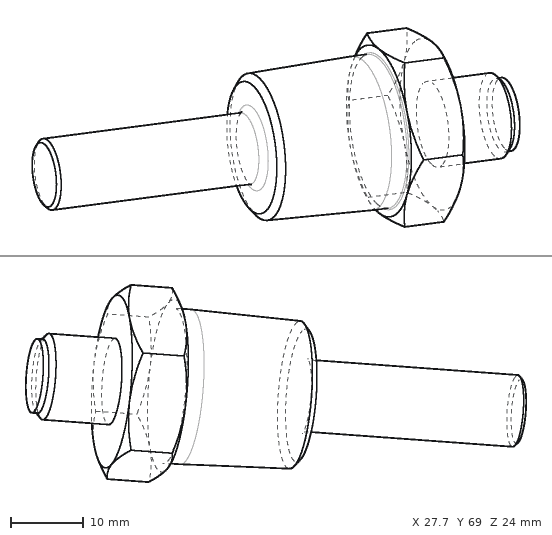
import cadquery as cq
import math

total_length = 69.0
hex_thickness = 8.0
connector_length = 11.0
thread_length = 19.0

hex_sides = 6
across_flats = 24.0
across_corners = across_flats / math.cos(math.pi / hex_sides)
hex_chamfer_angle = 30.0

connector_radius = 6.0
connector_lip_radius = 5.15
connector_lip_length = 0.8
connector_chamfer_length = 0.8

neck_radius = 10.77
neck_length = 2.5
neck_root_fillet = 0.2
taper_on_diameter = 1 / 16
thread_chamfer_length = 0.9
thread_end_radius = 9.25

stem_radius = 5.0
stem_root_fillet = 1.0
stem_tip_chamfer = 0.5

hex_back_y = hex_thickness
connector_end_y = hex_back_y + connector_length
thread_end_y = -thread_length
tip_y = connector_end_y - total_length


def revolve_about_y(half_profile):
    """Revolve a closed half profile (radius along X) around the Y axis."""
    return half_profile.close().revolve(360, (0, 0, 0), (0, 1, 0))


def make_hexagon():
    """Hexagon with corners on the X axis, both faces chamfered to the across-flats circle."""
    prism = (
        cq.Workplane("XZ")
        .polygon(hex_sides, across_corners)
        .extrude(-hex_thickness)
    )
    face_radius = across_flats / 2
    corner_radius = across_corners / 2
    chamfer_depth = (corner_radius - face_radius) * math.tan(math.radians(hex_chamfer_angle))
    chamfer_envelope = revolve_about_y(
        cq.Workplane("XY")
        .moveTo(0, 0)
        .lineTo(face_radius, 0)
        .lineTo(corner_radius, chamfer_depth)
        .lineTo(corner_radius, hex_back_y - chamfer_depth)
        .lineTo(face_radius, hex_back_y)
        .lineTo(0, hex_back_y)
    )
    return prism.intersect(chamfer_envelope)


def make_connector():
    """Round connector with a chamfer leading to a narrower lip at its end."""
    lip_start_y = connector_end_y - connector_lip_length
    return revolve_about_y(
        cq.Workplane("XY")
        .moveTo(0, hex_back_y)
        .lineTo(connector_radius, hex_back_y)
        .lineTo(connector_radius, lip_start_y - connector_chamfer_length)
        .lineTo(connector_lip_radius, lip_start_y)
        .lineTo(connector_lip_radius, connector_end_y)
        .lineTo(0, connector_end_y)
    )


def make_thread_body():
    """Cylindrical neck with a small root fillet, then a tapered thread envelope with a chamfered end."""
    chamfer_start_y = thread_end_y + thread_chamfer_length
    taper_length = -neck_length - chamfer_start_y
    taper_end_radius = neck_radius - taper_length * taper_on_diameter / 2
    return revolve_about_y(
        cq.Workplane("XY")
        .moveTo(0, 0)
        .lineTo(neck_radius + neck_root_fillet, 0)
        .radiusArc((neck_radius, -neck_root_fillet), -neck_root_fillet)
        .lineTo(neck_radius, -neck_length)
        .lineTo(taper_end_radius, chamfer_start_y)
        .lineTo(thread_end_radius, thread_end_y)
        .lineTo(0, thread_end_y)
    )


def make_stem():
    """Probe stem with a concave root fillet and a chamfered tip."""
    return revolve_about_y(
        cq.Workplane("XY")
        .moveTo(0, thread_end_y)
        .lineTo(stem_radius + stem_root_fillet, thread_end_y)
        .radiusArc((stem_radius, thread_end_y - stem_root_fillet), -stem_root_fillet)
        .lineTo(stem_radius, tip_y + stem_tip_chamfer)
        .lineTo(stem_radius - stem_tip_chamfer, tip_y)
        .lineTo(0, tip_y)
    )


result = make_hexagon().union(make_connector()).union(make_thread_body()).union(make_stem())